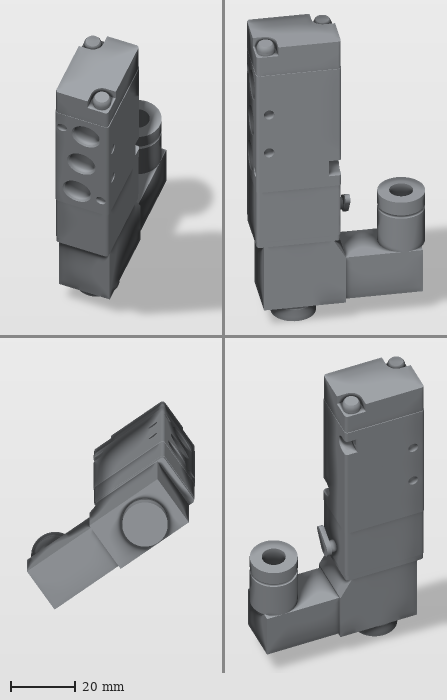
import cadquery as cq
import math


knob_height = 4.2
knob_neck_height = 0.9
knob_flange_height = 0.9
coil_height = 23.4
plate_height = 2.1
adapter_height = 18.4
body_height = 43.0
cap_height = 10.0

knob_top = knob_height
knob_flange_bottom = knob_top + knob_neck_height
coil_bottom = knob_flange_bottom + knob_flange_height
plate_bottom = coil_bottom + coil_height
adapter_bottom = plate_bottom + plate_height
body_bottom = adapter_bottom + adapter_height
body_middle = body_bottom + body_height / 2
cap_bottom = body_bottom + body_height
cap_top = cap_bottom + cap_height

body_width = 18.0
body_depth = 27.0
cap_width = 17.6
cap_setback = 0.1
plate_width = 17.5
plate_front = 0.2
plate_rear = 26.6
edge_radius = 1.0

port_diameter = 8.57
port_mouth_diameter = 9.57
port_depth = 12.0
port_pitch = 14.0
port_sideways_step = 1.5

mount_diameter = 3.3
front_mount_x = 6.5
front_mount_z = 15.0
front_mount_recess_width = 5.6
front_mount_recess_depth = 4.0
side_mount_y = 4.0
side_mount_pitch = 14.0

screw_x = 5.5
screw_inset = 3.5
screw_pocket_radius = 3.5
screw_pocket_depth = 3.2
screw_diameter = 5.6
screw_height = 3.1
screw_rim_height = 0.9
screw_top_diameter = 4.4

override_drop = 12.5
override_z = body_bottom - override_drop
override_stem_diameter = 4.0
override_stem_length = 1.8
override_disc_diameter = 5.3
override_disc_thickness = 1.6
override_lever_reach = 5.7
override_tip_diameter = 3.0
override_lever_angle = 45.0

coil_width = 17.0
coil_front = 2.5
coil_rear = 28.5
coil_slope_depth = 4.0
coil_slope_height = 6.8

knob_y = 13.25
knob_diameter = 14.2
knob_neck_diameter = 9.2

arm_width = 15.0
arm_rear = 53.0
arm_lift = 0.8
arm_bottom = coil_bottom + arm_lift
arm_height = 15.2
arm_top = arm_bottom + arm_height
fitting_diameter = 15.0
fitting_y = 47.5
fitting_barrel_height = 12.3
fitting_groove_height = 1.2
fitting_groove_diameter = 10.8
fitting_nut_height = 4.7
fitting_bore_diameter = 7.5
fitting_bore_depth = 10.0
fitting_cone_height = 3.3
fitting_cone_end_diameter = 11.4


def box(width, front, rear, bottom, top):
    """Block centred on X."""
    return (
        cq.Workplane("XY", origin=(0, (front + rear) / 2, bottom))
        .box(width, rear - front, top - bottom, centered=(True, True, False))
    )


def rounded_block(width, front, rear, bottom, top):
    """Block centred on X with its four upright edges rounded."""
    return box(width, front, rear, bottom, top).edges("|Z").fillet(edge_radius)


def disc(diameter, y, bottom, height):
    """Upright cylinder on the X = 0 plane."""
    return cq.Workplane("XY", origin=(0, y, bottom)).circle(diameter / 2).extrude(height)


def port(x, z):
    """Blind port with a 45 degree countersunk mouth."""
    radius = port_diameter / 2
    mouth_radius = port_mouth_diameter / 2
    profile = [
        (0, 0),
        (mouth_radius, 0),
        (radius, mouth_radius - radius),
        (radius, port_depth),
        (0, port_depth),
    ]
    return (
        cq.Workplane("XY", origin=(x, 0, z))
        .polyline(profile)
        .close()
        .revolve(360, (0, 0, 0), (0, 1, 0))
    )


def front_mount(side):
    """Through hole along Y, with a rear recess that runs out through the side face."""
    x = side * front_mount_x
    z = body_middle - side * front_mount_z
    rear_plane = cq.Workplane("XZ", origin=(x, body_depth, z))
    hole = rear_plane.circle(mount_diameter / 2).extrude(body_depth)
    seat = rear_plane.circle(front_mount_recess_width / 2).extrude(front_mount_recess_depth)
    run_out = (
        rear_plane.center(side * front_mount_recess_width / 2, 0)
        .rect(front_mount_recess_width, front_mount_recess_width)
        .extrude(front_mount_recess_depth)
    )
    return hole.union(seat).union(run_out)


def side_mount(z):
    """Through hole along X."""
    return (
        cq.Workplane("YZ", origin=(-body_width / 2, side_mount_y, z))
        .circle(mount_diameter / 2)
        .extrude(body_width)
    )


def valve_body():
    body = rounded_block(body_width, 0, body_depth, body_bottom, cap_bottom)
    for step in (-1, 0, 1):
        body = body.cut(port(step * port_sideways_step, body_middle + step * port_pitch))
    for side in (-1, 1):
        body = body.cut(front_mount(side))
        body = body.cut(side_mount(body_middle + side * side_mount_pitch / 2))
    return body


def screw_pocket(side, y):
    """Corner pocket, rounded around the screw and open to both outer faces."""
    reach = 2 * screw_pocket_radius
    x = side * screw_x
    floor = cap_top - screw_pocket_depth
    pocket = cq.Workplane("XY", origin=(x, y, floor)).circle(screw_pocket_radius).extrude(screw_pocket_depth)
    face_y = y - side * screw_pocket_radius
    side_x = x + side * screw_pocket_radius
    for center in ((side_x, y), (x, face_y)):
        opening = cq.Workplane("XY", origin=(*center, floor)).rect(reach, reach).extrude(screw_pocket_depth)
        pocket = pocket.union(opening)
    return pocket


def screw_head(side, y):
    """Round head with a short straight rim and a domed shoulder below its flat top."""
    radius = screw_diameter / 2
    top_radius = screw_top_diameter / 2
    shoulder_x = radius - (radius - top_radius) * (1 - math.cos(math.pi / 4))
    shoulder_z = screw_rim_height + (screw_height - screw_rim_height) * math.sin(math.pi / 4)
    return (
        cq.Workplane("XZ", origin=(side * screw_x, y, cap_top - screw_pocket_depth))
        .lineTo(radius, 0)
        .lineTo(radius, screw_rim_height)
        .threePointArc((shoulder_x, shoulder_z), (top_radius, screw_height))
        .lineTo(0, screw_height)
        .close()
        .revolve(360, (0, 0, 0), (0, 1, 0))
    )


def end_cap():
    cap = rounded_block(cap_width, cap_setback, body_depth - cap_setback, cap_bottom, cap_top)
    for side, y in ((-1, body_depth - screw_inset), (1, screw_inset)):
        cap = cap.cut(screw_pocket(side, y)).union(screw_head(side, y))
    return cap


def manual_override():
    """Stem carrying a disc that tapers tangentially into a round-tipped lever."""
    disc_radius = override_disc_diameter / 2
    tip_radius = override_tip_diameter / 2
    tangent_cosine = (disc_radius - tip_radius) / override_lever_reach
    tangent_sine = math.sqrt(1 - tangent_cosine**2)
    disc_x = disc_radius * tangent_cosine
    disc_z = disc_radius * tangent_sine
    tip_x = override_lever_reach + tip_radius * tangent_cosine
    tip_z = tip_radius * tangent_sine
    tip_end = override_lever_reach + tip_radius

    disc_rear = body_depth + override_stem_length + override_disc_thickness
    rear_origin = (0, disc_rear, override_z)
    stem = (
        cq.Workplane("XZ", origin=rear_origin)
        .circle(override_stem_diameter / 2)
        .extrude(disc_rear - body_depth + cap_setback)
    )
    lever = (
        cq.Workplane("XZ", origin=rear_origin)
        .moveTo(disc_x, disc_z)
        .lineTo(tip_x, tip_z)
        .threePointArc((tip_end, 0), (tip_x, -tip_z))
        .lineTo(disc_x, -disc_z)
        .threePointArc((-disc_radius, 0), (disc_x, disc_z))
        .close()
        .extrude(override_disc_thickness)
        .rotate((0, 0, override_z), (0, 1, override_z), -override_lever_angle)
    )
    return stem.union(lever)


def coil_block():
    outline = [
        (coil_front, coil_bottom),
        (coil_rear, coil_bottom),
        (coil_rear, plate_bottom - coil_slope_height),
        (coil_rear - coil_slope_depth, plate_bottom),
        (coil_front, plate_bottom),
    ]
    return (
        cq.Workplane("YZ")
        .polyline(outline)
        .close()
        .extrude(coil_width / 2, both=True)
    )


def knob():
    grip = disc(knob_diameter, knob_y, 0, knob_height)
    neck = disc(knob_neck_diameter, knob_y, knob_top, knob_neck_height)
    flange = disc(knob_diameter, knob_y, knob_flange_bottom, knob_flange_height)
    return grip.union(neck).union(flange)


def cable_fitting():
    groove_bottom = arm_top + fitting_barrel_height
    nut_bottom = groove_bottom + fitting_groove_height
    nut_top = nut_bottom + fitting_nut_height
    barrel = disc(fitting_diameter, fitting_y, arm_top, fitting_barrel_height)
    groove = disc(fitting_groove_diameter, fitting_y, groove_bottom, fitting_groove_height)
    nut = disc(fitting_diameter, fitting_y, nut_bottom, fitting_nut_height)
    cone = (
        cq.Workplane("XY", origin=(0, fitting_y, arm_top))
        .circle(fitting_diameter / 2)
        .workplane(offset=-fitting_cone_height)
        .circle(fitting_cone_end_diameter / 2)
        .loft()
    )
    bore = disc(fitting_bore_diameter, fitting_y, nut_top - fitting_bore_depth, fitting_bore_depth)
    return barrel.union(groove).union(nut).union(cone).cut(bore)


result = (
    valve_body()
    .union(end_cap())
    .union(rounded_block(cap_width, cap_setback, body_depth - cap_setback, adapter_bottom, body_bottom))
    .union(rounded_block(plate_width, plate_front, plate_rear, plate_bottom, adapter_bottom))
    .union(manual_override())
    .union(coil_block())
    .union(knob())
    .union(box(arm_width, coil_front, arm_rear, arm_bottom, arm_top))
    .union(cable_fitting())
)